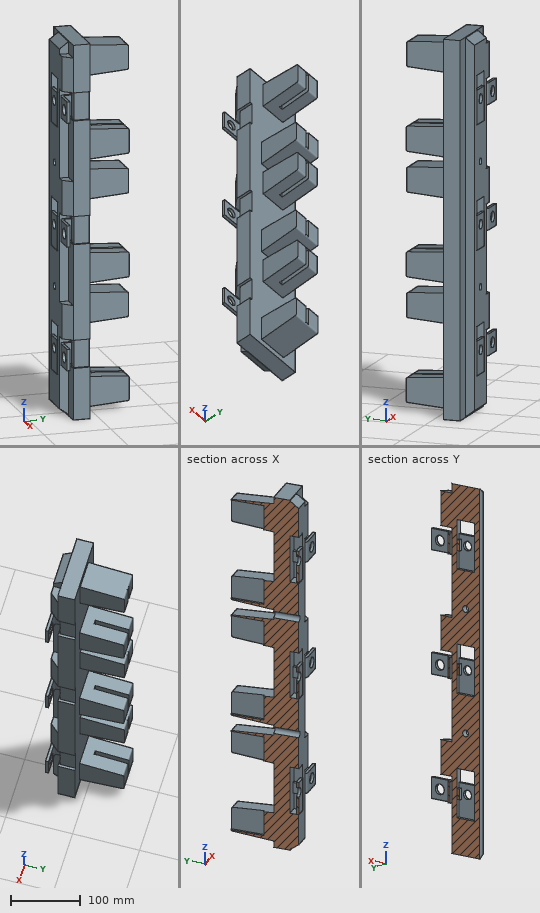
import cadquery as cq

LENGTH = 561.0
BASE_WIDTH = 99.0
BASE_THICKNESS = 25.0
RAISED_HEIGHT = 13.5
STEP_Y = -BASE_THICKNESS
FRONT_Y = STEP_Y - RAISED_HEIGHT

RAISED_LEFT = 23.5
RAISED_RIGHT = 74.5
BEVEL = 11.0
END_LEDGE = 1.0

PHASE_PITCH = 185.0
MIDDLE_Z = LENGTH / 2
PHASE_CENTRES = [MIDDLE_Z + i * PHASE_PITCH for i in (-1, 0, 1)]
CENTRE_X = BASE_WIDTH / 2

SHOULDER_TOP = 76.5
SHOULDER_FLAT_RIGHT = 86.5

STRIP = 4.5
PROTRUSION = 0.5
TERMINAL_Y = FRONT_Y - PROTRUSION
STRIP_WIDTH = 32.0
STRIP_HALF_WIDTH = STRIP_WIDTH / 2
BRIDGE_HALF_WIDTH = 8.5
TAB_RIGHT = 114.5
TAB_HOLE_DIAMETER = 15.5
TAB_HOLE_X = 99.5
RISER_LEFT = 77.0
RISER_RIGHT = RISER_LEFT + STRIP
BEND_INNER_RADIUS = 3.5
BEND_OUTER_RADIUS = BEND_INNER_RADIUS + STRIP
PAD_HOLE_DIAMETER = 14.0

POCKET_WIDTH = 31.0
POCKET_LEFT = CENTRE_X - POCKET_WIDTH / 2
POCKET_RIGHT = CENTRE_X + POCKET_WIDTH / 2
POCKET_ABOVE = 37.5
POCKET_BELOW = 35.5
POCKET_DEPTH = RAISED_HEIGHT
POCKET_FLOOR_Y = FRONT_Y + POCKET_DEPTH
BRIDGE_FRONT_Y = POCKET_FLOOR_Y - STRIP

NOTCH_ABOVE = 24.0
NOTCH_BELOW = 18.0
NOTCH_DEPTH = 15.5
NOTCH_FLOOR_Y = FRONT_Y + NOTCH_DEPTH
RISER_SLOT_DEPTH = 18.0
RISER_SLOT_FLOOR_Y = FRONT_Y + RISER_SLOT_DEPTH
EDGE_CUT_LEFT = 95.0

MOUNTING_HOLE_DIAMETER = 9.5

LUG_LENGTH = 66.0
LUG_OFFSET = 62.5
LUG_ROOT_HEIGHT = 46.0
LUG_TIP_HEIGHT = 37.0
LOWER_LUG_LEFT = 26.0
LOWER_LUG_RIGHT = 73.5
UPPER_LUG_LEFT = 27.5
UPPER_LUG_RIGHT = 70.0
LUG_TIP_RADIUS = 3.0
SLIT_END_WALL = 2.0
SLIT_WIDTH = 5.5
SLIT_DEPTH = 50.5


def block(x0, x1, y0, y1, z0, z1):
    """Box between two corners."""
    return cq.Workplane("XY").box(x1 - x0, y1 - y0, z1 - z0, centered=False).translate((x0, y0, z0))


def cylinder_along_y(x, z, diameter, y0, y1):
    """Cylinder with its axis along Y, from y0 to y1."""
    return cq.Workplane("XZ", origin=(x, y0, z)).circle(diameter / 2).extrude(y0 - y1)


def make_base():
    """Base plate with the bevelled raised front body."""
    plate = block(0, BASE_WIDTH, STEP_Y, 0, 0, LENGTH)
    raised = (
        cq.Workplane("YZ", origin=(RAISED_LEFT, 0, 0))
        .polyline([
            (STEP_Y, END_LEDGE),
            (FRONT_Y, BEVEL),
            (FRONT_Y, LENGTH - BEVEL),
            (STEP_Y, LENGTH - END_LEDGE),
        ])
        .close()
        .extrude(RAISED_RIGHT - RAISED_LEFT)
    )
    return plate.union(raised)


def make_shoulder(centre):
    """Extension of the raised body that slopes back to the right edge of the base plate."""
    return (
        cq.Workplane("XY", origin=(0, 0, centre))
        .polyline([
            (RAISED_RIGHT, STEP_Y),
            (RAISED_RIGHT, FRONT_Y),
            (SHOULDER_FLAT_RIGHT, FRONT_Y),
            (BASE_WIDTH, STEP_Y),
        ])
        .close()
        .extrude(SHOULDER_TOP)
    )


def make_lug(centre, left, right, opening):
    """Tapered lug with rounded tip, from X = left to right; slit opening up (+1) or down (-1)."""
    root = LUG_ROOT_HEIGHT / 2
    tip = LUG_TIP_HEIGHT / 2
    lug = (
        cq.Workplane("YZ", origin=(left, 0, centre))
        .polyline([(0, -root), (LUG_LENGTH, -tip), (LUG_LENGTH, tip), (0, root)])
        .close()
        .extrude(right - left)
    )
    lug = lug.faces(">Y").edges("|X").fillet(LUG_TIP_RADIUS)
    slit_ends = sorted((centre - opening * (tip - SLIT_END_WALL), centre + opening * root))
    slit = block(
        CENTRE_X - SLIT_WIDTH / 2, CENTRE_X + SLIT_WIDTH / 2,
        LUG_LENGTH - SLIT_DEPTH, LUG_LENGTH,
        *slit_ends,
    )
    return lug.cut(slit)


def make_conductor(centre):
    """Bent strip: pad in the pocket, bridge under the housing wall, riser and terminal tab."""
    back_y = TERMINAL_Y + STRIP
    terminal = (
        cq.Workplane("XY", origin=(0, 0, centre - STRIP_HALF_WIDTH))
        .moveTo(RISER_LEFT, RISER_SLOT_FLOOR_Y)
        .lineTo(RISER_LEFT, TERMINAL_Y + BEND_OUTER_RADIUS)
        .radiusArc((RISER_LEFT + BEND_OUTER_RADIUS, TERMINAL_Y), -BEND_OUTER_RADIUS)
        .lineTo(TAB_RIGHT, TERMINAL_Y)
        .lineTo(TAB_RIGHT, back_y)
        .lineTo(RISER_RIGHT + BEND_INNER_RADIUS, back_y)
        .radiusArc((RISER_RIGHT, back_y + BEND_INNER_RADIUS), BEND_INNER_RADIUS)
        .lineTo(RISER_RIGHT, RISER_SLOT_FLOOR_Y)
        .close()
        .extrude(STRIP_WIDTH)
    )
    bridge_bottom = centre - BRIDGE_HALF_WIDTH
    bridge_top = centre + BRIDGE_HALF_WIDTH
    leg_left = POCKET_RIGHT - STRIP
    bridge = block(leg_left, RISER_LEFT, BRIDGE_FRONT_Y, POCKET_FLOOR_Y, bridge_bottom, bridge_top)
    pad_leg = block(leg_left, POCKET_RIGHT, TERMINAL_Y, POCKET_FLOOR_Y, bridge_bottom, bridge_top)
    pad = block(
        POCKET_LEFT, POCKET_RIGHT, TERMINAL_Y, back_y,
        centre - POCKET_BELOW, centre + STRIP_HALF_WIDTH,
    )
    pad_hole = cylinder_along_y(CENTRE_X, centre, PAD_HOLE_DIAMETER, TERMINAL_Y, back_y)
    tab_hole = cylinder_along_y(TAB_HOLE_X, centre, TAB_HOLE_DIAMETER, TERMINAL_Y, back_y)
    return terminal.union(bridge).union(pad_leg).union(pad).cut(pad_hole).cut(tab_hole)


def cut_phase_recesses(body, centre):
    """Cut the pad pocket, the tab notch and the passage for the conductor's bridge."""
    notch_bottom = centre - NOTCH_BELOW
    notch_top = centre + NOTCH_ABOVE
    recesses = [
        block(POCKET_LEFT, POCKET_RIGHT, FRONT_Y, POCKET_FLOOR_Y,
              centre - POCKET_BELOW, centre + POCKET_ABOVE),
        block(POCKET_RIGHT, RISER_LEFT, BRIDGE_FRONT_Y, POCKET_FLOOR_Y,
              centre - BRIDGE_HALF_WIDTH, centre + BRIDGE_HALF_WIDTH),
        block(RAISED_RIGHT, BASE_WIDTH, FRONT_Y, NOTCH_FLOOR_Y, notch_bottom, notch_top),
        block(RISER_LEFT, RISER_RIGHT, FRONT_Y, RISER_SLOT_FLOOR_Y, notch_bottom, notch_top),
        block(EDGE_CUT_LEFT, BASE_WIDTH, FRONT_Y, 0, notch_bottom, notch_top),
    ]
    for recess in recesses:
        body = body.cut(recess)
    return body


def make_housing():
    """Base with shoulders, lugs, recesses and mounting holes."""
    body = make_base()
    for centre in PHASE_CENTRES:
        body = body.union(make_shoulder(centre))
        body = body.union(make_lug(centre + LUG_OFFSET, UPPER_LUG_LEFT, UPPER_LUG_RIGHT, -1))
        body = body.union(make_lug(centre - LUG_OFFSET, LOWER_LUG_LEFT, LOWER_LUG_RIGHT, 1))
        body = cut_phase_recesses(body, centre)
    for side in (-1, 1):
        hole_z = MIDDLE_Z + side * PHASE_PITCH / 2
        body = body.cut(cylinder_along_y(CENTRE_X, hole_z, MOUNTING_HOLE_DIAMETER, FRONT_Y, 0))
    return body


housing = make_housing()
conductors = [make_conductor(centre) for centre in PHASE_CENTRES]

result = cq.Compound.makeCompound([housing.val(), *[conductor.val() for conductor in conductors]])